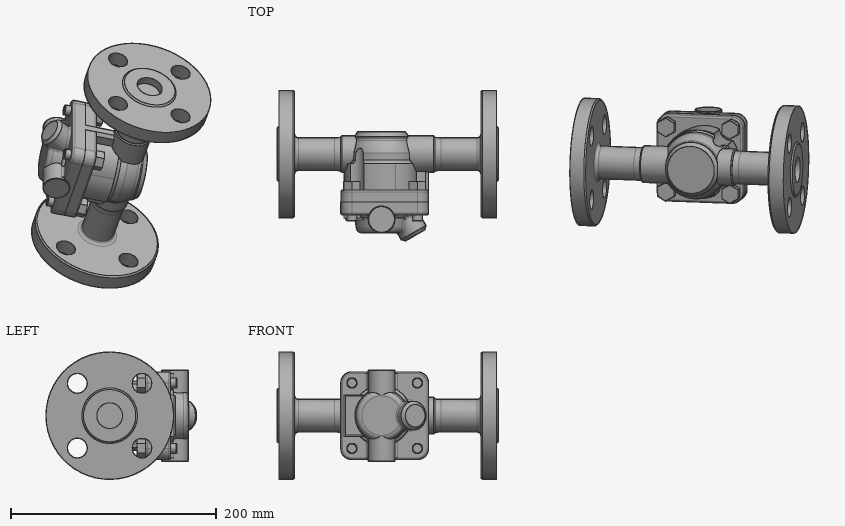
import cadquery as cq
import math


overall_length_x = 215.0
overall_length_y = 146.54
body_center_x = 6.0
flange_diameter = 124.0
flange_thickness = 17.1
flange_chamfer = 1.5
raised_face_height = 1.6
raised_face_diameter = 50.8
raised_face_root_diameter = 54.0
bolt_circle_diameter = 88.9
bolt_hole_diameter = 19.0
bolt_hole_count = 4
bore_diameter = 25.0
bore_depth = 8.0
pipe_diameter = 32.0
pipe_fillet = 3.5
socket_diameter = 36.0
socket_length = 91.8
socket_chamfer = 1.2
weld_length = 6.0
weld_height = 0.3

cap_y = 21.8
cap_radius = 23.2
cap_rim_radius = 26.4
cap_rim_front_y = 17.0
cap_rim_back_y = 15.7
neck_y = 13.0
neck_radius = 27.3
shoulder_y = 7.2
shoulder_radius = 30.3
barrel_y = 1.0
barrel_radius = 32.4
barrel_end_y = -5.7

inlet_hull_x = -2.7
inlet_hull_radius = 33.8
outlet_hull_x = 3.0
outlet_hull_radius = 31.5
hull_seam_x = 13.4
hull_start_y = -9.0

groove_radius = 12.0
groove_end_y = 12.0

lug_width = 12.6
lug_top_y = -15.6
lug_edge = 3.0

plate_center_x = 3.0
plate_size = 85.4
plate_corner_radius = 10.8
plate_back_y = -35.0
joint_y = -46.7
plate_front_y = -59.0
plate_edge = 1.7
back_plate_inset = 0.1
bolt_spacing = 63.6
bolt_diameter = 10.0
bolt_tip_y = -65.2
bolt_tip_chamfer = 0.6
head_across_flats = 16.0
head_height = 8.3

dome_front_y = -76.5
dome_base_radius = 26.2
dome_front_radius = 23.8
dome_fillet = 5.4
dome_cove_radius = 3.0
tube_diameter = 26.0
tube_y = dome_front_y + tube_diameter / 2
tube_length = 88.9
tube_end_chamfer = 0.5
tube_cove_radius = 2.5
plug_angle = 30.0
plug_diameter = 28.0
plug_face_diameter = 22.0
plug_chamfer_length = 3.2
plug_length = 32.0
plug_cove_radius = 2.0
plug_face_x = 32.7
plug_foot_x = 10.0
tray_left_x = -36.7
tray_height = 40.6
tray_front_y = -64.0
tray_lip = 1.4
tray_step_y = -62.3


def y_cylinder(x, z, y_start, y_end, radius):
    """Cylinder along Y, from y_start towards -Y down to y_end."""
    return cq.Workplane("XZ", origin=(x, y_start, z)).circle(radius).extrude(y_start - y_end)


def bolt_places():
    half = bolt_spacing / 2
    return [(plate_center_x + sx * half, sz * half) for sx in (-1, 1) for sz in (-1, 1)]


def make_pipe_end(side):
    """Flange, pipe and fillet on one side; side is -1 for the inlet, +1 for the outlet."""
    face = overall_length_x / 2
    seat = face - raised_face_height
    back = face - flange_thickness
    flange_r = flange_diameter / 2
    pipe_r = pipe_diameter / 2
    profile = (
        cq.Workplane("XY")
        .moveTo(0, 0)
        .lineTo(0, pipe_r)
        .lineTo(back - pipe_fillet, pipe_r)
        .radiusArc((back, pipe_r + pipe_fillet), -pipe_fillet)
        .lineTo(back, flange_r - flange_chamfer)
        .lineTo(back + flange_chamfer, flange_r)
        .lineTo(seat, flange_r)
        .lineTo(seat, raised_face_root_diameter / 2)
        .lineTo(face, raised_face_diameter / 2)
        .lineTo(face, 0)
        .close()
    )
    end = profile.revolve(360, (0, 0, 0), (1, 0, 0))
    holes = (
        cq.Workplane("YZ", origin=(back - pipe_fillet, 0, 0))
        .polarArray(bolt_circle_diameter / 2, 180 / bolt_hole_count, 360, bolt_hole_count)
        .circle(bolt_hole_diameter / 2)
        .extrude(flange_thickness + pipe_fillet)
    )
    bore = cq.Workplane("YZ", origin=(face - bore_depth, 0, 0)).circle(bore_diameter / 2).extrude(bore_depth)
    end = end.cut(holes).cut(bore)
    if side < 0:
        end = end.mirror("YZ")
    return end.translate((body_center_x, 0, 0))


def make_socket():
    """Socket for both pipes with a weld cone at each end."""
    half = socket_length / 2
    pipe_r = pipe_diameter / 2
    socket_r = socket_diameter / 2
    profile = (
        cq.Workplane("XY")
        .moveTo(-half - weld_length, 0)
        .lineTo(-half - weld_length, pipe_r)
        .lineTo(-half, pipe_r + weld_height)
        .lineTo(-half, socket_r - socket_chamfer)
        .lineTo(-half + socket_chamfer, socket_r)
        .lineTo(half - socket_chamfer, socket_r)
        .lineTo(half, socket_r - socket_chamfer)
        .lineTo(half, pipe_r + weld_height)
        .lineTo(half + weld_length, pipe_r)
        .lineTo(half + weld_length, 0)
        .close()
    )
    return profile.revolve(360, (0, 0, 0), (1, 0, 0)).translate((body_center_x, 0, 0))


def make_barrel():
    """Closed barrel with a rimmed cap, swelling towards the hull."""
    profile = (
        cq.Workplane("XY")
        .moveTo(0, cap_y)
        .lineTo(cap_radius, cap_y)
        .lineTo(cap_rim_radius, cap_rim_front_y)
        .lineTo(cap_rim_radius, cap_rim_back_y)
        .lineTo(neck_radius, neck_y)
        .threePointArc((shoulder_radius, shoulder_y), (barrel_radius, barrel_y))
        .lineTo(barrel_radius, barrel_end_y)
        .lineTo(inlet_hull_radius, hull_start_y)
        .lineTo(0, hull_start_y)
        .close()
    )
    return profile.revolve(360, (0, 0, 0), (0, 1, 0))


def make_hull():
    """Hull wall with a wider inlet side and a narrower outlet side."""
    size = 4 * inlet_hull_radius
    inlet_side = cq.Workplane("XY").box(size, size, size).translate((hull_seam_x - size / 2, 0, 0))
    inlet = y_cylinder(inlet_hull_x, 0, hull_start_y, joint_y, inlet_hull_radius).intersect(inlet_side)
    outlet = y_cylinder(outlet_hull_x, 0, hull_start_y, joint_y, outlet_hull_radius)
    return inlet.union(outlet)


def make_groove(x, z):
    """Clearance around a bolt head that runs along the hull and out of the barrel's shoulder."""
    return y_cylinder(x, z, groove_end_y, plate_back_y, groove_radius)


def make_lug():
    right_x = plate_center_x + plate_size / 2
    return (
        cq.Workplane("XZ", origin=(right_x / 2, lug_top_y, 0))
        .rect(right_x, lug_width)
        .extrude(lug_top_y - joint_y)
        .edges("|Y and >X")
        .chamfer(lug_edge)
    )


def plate_blank(size, back_y, front_y):
    return (
        cq.Workplane("XZ", origin=(plate_center_x, back_y, 0))
        .rect(size, size)
        .extrude(back_y - front_y)
        .edges("|Y")
        .fillet(plate_corner_radius)
    )


def make_plates():
    """Body plate and cover plate, meeting at the joint."""
    back = plate_blank(plate_size - 2 * back_plate_inset, plate_back_y, joint_y)
    back = back.faces(">Y").edges().fillet(plate_edge)
    front = plate_blank(plate_size, joint_y, plate_front_y).faces("<Y").edges().fillet(plate_edge)
    return back.union(front)


def make_bolt(x, z):
    hex_corner_diameter = head_across_flats / math.cos(math.pi / 6)
    tip = y_cylinder(x, z, joint_y, bolt_tip_y, bolt_diameter / 2).faces("<Y").chamfer(bolt_tip_chamfer)
    head = (
        cq.Workplane("XZ", origin=(x, plate_back_y + head_height, z))
        .transformed(rotate=(0, 0, 90))
        .polygon(6, hex_corner_diameter)
        .extrude(head_height)
    )
    return tip.union(head)


def make_dome():
    profile = (
        cq.Workplane("XY")
        .moveTo(0, joint_y)
        .lineTo(dome_base_radius + dome_cove_radius, joint_y)
        .lineTo(dome_base_radius + dome_cove_radius, plate_front_y)
        .radiusArc((dome_base_radius, plate_front_y - dome_cove_radius), dome_cove_radius)
        .lineTo(dome_front_radius, dome_front_y)
        .lineTo(0, dome_front_y)
        .close()
    )
    dome = profile.revolve(360, (0, 0, 0), (0, 1, 0))
    return dome.faces("<Y").edges().fillet(dome_fillet)


def make_tube():
    """Closed cross tube along Z."""
    return (
        cq.Workplane("XY", origin=(0, tube_y, -tube_length / 2))
        .circle(tube_diameter / 2)
        .extrude(tube_length)
        .faces("<Z or >Z")
        .chamfer(tube_end_chamfer)
    )


def make_tube_coves():
    """Concave fillets that blend both sides of the cross tube into the cover plate."""
    tube_r = tube_diameter / 2
    cove_y = plate_front_y - tube_cove_radius
    cove_x = math.sqrt((tube_r + tube_cove_radius) ** 2 - (cove_y - tube_y) ** 2)
    touch = tube_r / (tube_r + tube_cove_radius)
    touch_x = touch * cove_x
    touch_y = tube_y + touch * (cove_y - tube_y)
    length = plate_size - 2 * plate_edge
    return (
        cq.Workplane("XY", origin=(0, 0, -length / 2))
        .moveTo(cove_x, joint_y)
        .lineTo(cove_x, plate_front_y)
        .radiusArc((touch_x, touch_y), -tube_cove_radius)
        .lineTo(-touch_x, touch_y)
        .radiusArc((-cove_x, plate_front_y), -tube_cove_radius)
        .lineTo(-cove_x, joint_y)
        .close()
        .extrude(length)
    )


def make_plug():
    """Angled strainer plug leaning towards the outlet."""
    angle = math.radians(plug_angle)
    axis = (math.sin(angle), -math.cos(angle), 0)
    lowest_y = flange_diameter / 2 - overall_length_y
    face_y = lowest_y + plug_face_diameter / 2 * math.sin(angle)
    origin = (plug_face_x - plug_length * axis[0], face_y - plug_length * axis[1], 0)
    face_r = plug_face_diameter / 2
    plug_r = plug_diameter / 2
    profile = (
        cq.Workplane(cq.Plane(origin=origin, xDir=(math.cos(angle), math.sin(angle), 0), normal=(0, 0, 1)))
        .moveTo(0, 0)
        .lineTo(plug_r, 0)
        .lineTo(plug_r, plug_chamfer_length - plug_length)
        .lineTo(face_r, -plug_length)
        .lineTo(0, -plug_length)
        .close()
    )
    return profile.revolve(360, (0, 0, 0), (0, 1, 0))


def make_plates_with_plug():
    """Plates with the dome and plug, blended where the plug leaves the dome and the plate."""
    solid = make_plates().union(make_dome()).union(make_plug())
    reach = plug_diameter
    near_corner = (plug_foot_x, joint_y, -reach)
    far_corner = (plug_face_x + plug_chamfer_length, dome_front_y - plug_chamfer_length, reach)
    foot = cq.selectors.BoxSelector(near_corner, far_corner)
    seams = solid.edges(foot).filter(lambda edge: edge.geomType() in ("BSPLINE", "ELLIPSE"))
    return seams.fillet(plug_cove_radius)


def make_tray():
    """Stepped nameplate pad between the dome and the inlet edge of the cover."""

    def slab(left, height, front):
        return (
            cq.Workplane("XZ", origin=(left / 2, joint_y, 0)).rect(-left, height).extrude(joint_y - front)
        )

    base = slab(tray_left_x, tray_height, tray_step_y)
    top = slab(tray_left_x + tray_lip, tray_height - 2 * tray_lip, tray_front_y)
    return base.union(top)


body = make_barrel().union(make_hull())
for bolt_x, bolt_z in bolt_places():
    if bolt_x < 0:
        body = body.cut(make_groove(bolt_x, bolt_z))
body = body.union(make_socket()).union(make_lug()).union(make_plates_with_plug())
for side in (-1, 1):
    body = body.union(make_pipe_end(side))

cover = make_tube().union(make_tube_coves()).union(make_tray())
result = body.union(cover)
for bolt_x, bolt_z in bolt_places():
    result = result.union(make_bolt(bolt_x, bolt_z))